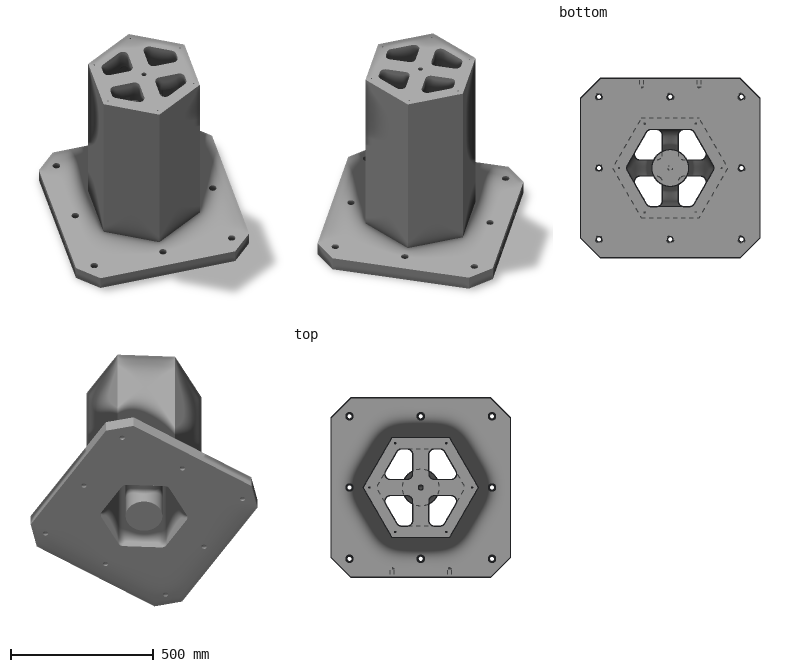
import cadquery as cq
import math

plate_side = 630.0
total_height = 700.0
plate_thickness = 50.0
plate_chamfer = 70.0

column_apothem = 175.0
column_wall = 40.0
corner_radius = 19.5
hexagon_sides = 6

cap_thickness = 70.0
roof_radius = 19.0
core_radius = 64.5

cross_width = 57.0
opening_depth = cap_thickness + roof_radius

drill_point_angle = 118.0
center_hole_diameter = 17.5
center_hole_depth = 35.0
cap_hole_diameter = 5.0
cap_hole_depth = 14.0
cap_hole_circle_radius = 180.0
side_hole_diameter = 14.0
side_hole_depth = 30.0
side_hole_spacing = 200.0
side_hole_height = 18.0

mount_pitch = 250.0
mount_hole_diameter = 18.0
mount_bore_diameter = 26.0
mount_bore_depth = plate_thickness / 2


def upright_box(length_x, length_y, height):
    """Box centered on the Z axis and standing on Z = 0."""
    return cq.Workplane("XY").box(length_x, length_y, height, centered=(True, True, False))


def hexagon_prism(apothem, height):
    """Upright hexagonal prism standing on Z = 0."""
    circumdiameter = 2 * apothem / math.cos(math.pi / hexagon_sides)
    return cq.Workplane("XY").polygon(hexagon_sides, circumdiameter).extrude(height)


def drilled_hole(diameter, depth):
    """Blind hole with a conical tip, entering at the origin and running down -Z."""
    radius = diameter / 2
    tip_length = radius / math.tan(math.radians(drill_point_angle / 2))
    outline = [(0, 0), (radius, 0), (radius, -depth), (0, -depth - tip_length)]
    return cq.Workplane("XZ").polyline(outline).close().revolve(360, (0, 0), (0, 1))


def make_plate():
    """Square base plate with cut-off corners."""
    plate = upright_box(plate_side, plate_side, plate_thickness)
    return plate.edges("|Z").chamfer(plate_chamfer)


def make_cavity():
    """Hexagonal space around the central core, with rounded corners and roof edge."""
    cavity_height = total_height - cap_thickness
    cavity = hexagon_prism(column_apothem - column_wall, cavity_height)
    cavity = cavity.edges("|Z").fillet(corner_radius)
    cavity = cavity.faces(">Z").edges().fillet(roof_radius)
    core = cq.Workplane("XY").circle(core_radius).extrude(cavity_height)
    return cavity.cut(core)


def make_cap_openings():
    """Inner hexagon split into four by the cross bars, with rounded corners."""
    inner_hexagon = hexagon_prism(column_apothem - column_wall, opening_depth)
    bar_length = 2 * column_apothem
    bar_along_x = upright_box(bar_length, cross_width, opening_depth)
    bar_along_y = upright_box(cross_width, bar_length, opening_depth)
    openings = inner_hexagon.cut(bar_along_x).cut(bar_along_y)
    openings = openings.edges("|Z").fillet(corner_radius)
    return openings.translate((0, 0, total_height - opening_depth))


result = make_plate().union(hexagon_prism(column_apothem, total_height))
result = result.cut(make_cavity()).cut(make_cap_openings())

result = result.cut(drilled_hole(center_hole_diameter, center_hole_depth).translate((0, 0, total_height)))
corner_hole = drilled_hole(cap_hole_diameter, cap_hole_depth)
corner_hole = corner_hole.translate((cap_hole_circle_radius, 0, total_height))
for index in range(hexagon_sides):
    result = result.cut(corner_hole.rotate((0, 0, 0), (0, 0, 1), 360 * index / hexagon_sides))

for side in (-1, 1):
    hole = drilled_hole(side_hole_diameter, side_hole_depth).rotate((0, 0, 0), (1, 0, 0), 90)
    hole = hole.translate((side * side_hole_spacing / 2, -plate_side / 2, side_hole_height))
    result = result.cut(hole)

mount_points = [
    (column * mount_pitch, row * mount_pitch)
    for column in (-1, 0, 1)
    for row in (-1, 0, 1)
    if (column, row) != (0, 0)
]
mount_plane = cq.Workplane("XY", origin=(0, 0, plate_thickness)).pushPoints(mount_points)
result = result.cut(mount_plane.circle(mount_hole_diameter / 2).extrude(-plate_thickness))
result = result.cut(mount_plane.circle(mount_bore_diameter / 2).extrude(-mount_bore_depth))